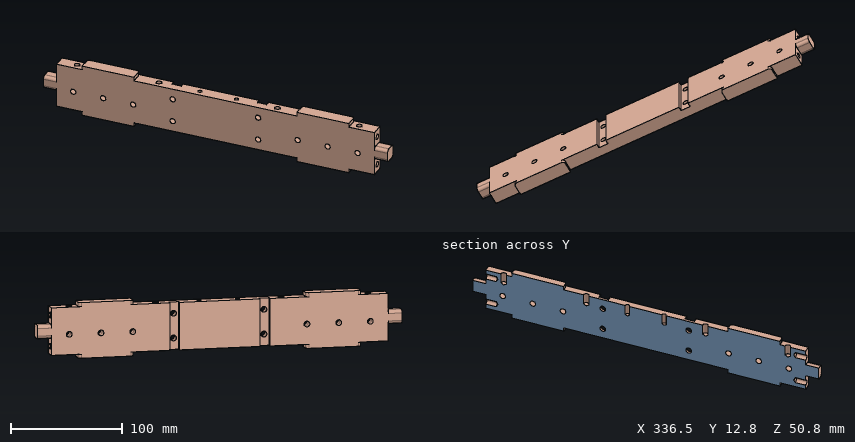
import cadquery as cq
import math

total_length = 336.5
thickness = 12.8
pad_height = 50.8
body_height = 43.5

tab_length = 12.8
tab_edge_radius = 3.0

pad_length = 50.8
pad_center_x = 105.0
pad_corner_radius = 2.7

slot_center_x = 41.7
slot_width = 9.0
slot_depth = 4.0

through_diameter = 5.0
row_center_x = 109.7
row_pitch = 29.3
row_z = -3.0
slot_hole_spacing = 22.5

drill_diameter = 5.0
small_drill_diameter = 3.7
drill_depth = 10.0
drill_point_angle = 118.0
top_hole_outer_x = 138.0
top_hole_inner_x = 58.0
top_small_hole_x = 18.0
end_hole_spacing = 28.3

body_length = total_length - 2 * tab_length
SIDES = (-1, 1)


def body():
    return cq.Workplane("XY").box(body_length, thickness, body_height)


def tab_bar():
    """Rounded square bar running the full length; its ends form the two tabs."""
    return cq.Workplane("XY").box(total_length, thickness, thickness).edges("|X").fillet(tab_edge_radius)


def pad(side):
    """Tall block whose upright edges on the back face are rounded."""
    block = cq.Workplane("XY").box(pad_length, thickness, pad_height)
    block = block.edges("|Z and >Y").fillet(pad_corner_radius)
    return block.translate((side * pad_center_x, 0, 0))


def slot(side):
    """Full-height slot cut into the back face."""
    cutter = cq.Workplane("XY").box(slot_width, slot_depth, pad_height)
    return cutter.translate((side * slot_center_x, (thickness - slot_depth) / 2, 0))


def through_holes(side):
    row = [(side * (row_center_x + step * row_pitch), row_z) for step in (-1, 0, 1)]
    pair = [(side * slot_center_x, end * slot_hole_spacing / 2) for end in SIDES]
    plane = cq.Workplane("XZ").pushPoints(row + pair)
    return plane.circle(through_diameter / 2).extrude(thickness, both=True)


def drilled_hole(start, direction, diameter):
    """Blind hole of drill_depth ending in a drill point."""
    radius = diameter / 2
    tip_depth = drill_depth + radius / math.tan(math.radians(drill_point_angle / 2))
    cylinder = cq.Solid.makeCylinder(radius, drill_depth, cq.Vector(*start), cq.Vector(*direction))
    tip_start = cq.Vector(*start) + cq.Vector(*direction) * drill_depth
    tip = cq.Solid.makeCone(radius, 0, tip_depth - drill_depth, tip_start, cq.Vector(*direction))
    return cq.Workplane(cylinder).union(cq.Workplane(tip))


def top_holes(side):
    top = body_height / 2
    down = (0, 0, -1)
    holes = drilled_hole((side * top_hole_outer_x, 0, top), down, drill_diameter)
    holes = holes.union(drilled_hole((side * top_hole_inner_x, 0, top), down, drill_diameter))
    return holes.union(drilled_hole((side * top_small_hole_x, 0, top), down, small_drill_diameter))


def end_holes(side):
    """Two holes drilled lengthwise into the body end, above and below the tab."""
    start_x = side * body_length / 2
    inward = (-side, 0, 0)
    upper = drilled_hole((start_x, 0, end_hole_spacing / 2), inward, drill_diameter)
    lower = drilled_hole((start_x, 0, -end_hole_spacing / 2), inward, drill_diameter)
    return upper.union(lower)


result = body().union(tab_bar())
for side in SIDES:
    result = result.union(pad(side))
for side in SIDES:
    result = result.cut(slot(side))
    result = result.cut(through_holes(side))
    result = result.cut(top_holes(side))
    result = result.cut(end_holes(side))